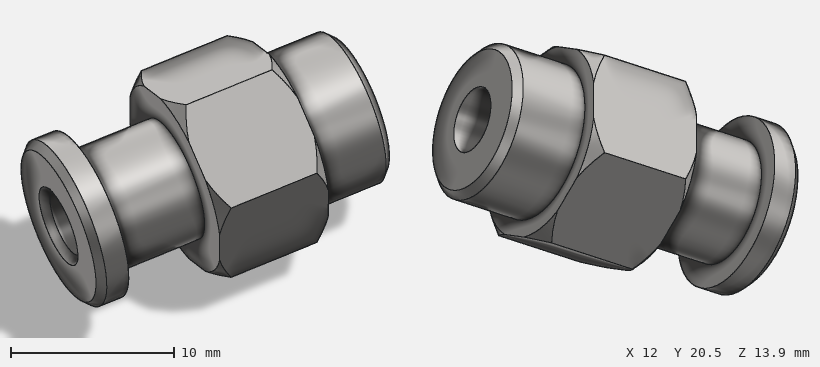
import cadquery as cq
import math

total_length = 20.5
flange_length = 2.0
neck_length = 6.0
hex_length = 7.5

flange_diameter = 11.0
neck_diameter = 8.0
spigot_diameter = 10.0
hex_across_flats = 12.0
hex_face_diameter = 12.25
bore_diameter = 4.2
edge_chamfer = 0.5

hex_start = flange_length + neck_length
spigot_start = hex_start + hex_length
spigot_length = total_length - spigot_start
hex_across_corners = hex_across_flats / math.cos(math.pi / 6)
corner_chamfer = (hex_across_corners - hex_face_diameter) / 2


def section_plane(y):
    """Plane across the axis at y, extruding toward +Y."""
    return cq.Workplane(cq.Plane(origin=(0, y, 0), xDir=(0, 0, 1), normal=(0, 1, 0)))


def cylinder(y, diameter, length):
    return section_plane(y).circle(diameter / 2).extrude(length)


def hex_body():
    """Hexagon with corners on Z, its corners turned down at 45 degrees on both ends."""
    prism = section_plane(hex_start).polygon(6, hex_across_corners).extrude(hex_length)
    turned_blank = cylinder(hex_start, hex_across_corners, hex_length)
    turned_blank = turned_blank.faces("<Y or >Y").chamfer(corner_chamfer)
    return prism.intersect(turned_blank)


flange = cylinder(0, flange_diameter, flange_length).faces("<Y").chamfer(edge_chamfer)
neck = cylinder(flange_length, neck_diameter, neck_length)
spigot = cylinder(spigot_start, spigot_diameter, spigot_length).faces(">Y").chamfer(edge_chamfer)
body = flange.union(neck).union(hex_body()).union(spigot)

bore = cylinder(0, bore_diameter, total_length)
bore_radius = bore_diameter / 2
countersink = cq.Workplane(
    cq.Solid.makeCone(
        bore_radius + edge_chamfer, bore_radius, edge_chamfer, cq.Vector(0, 0, 0), cq.Vector(0, 1, 0)
    )
)

result = body.cut(bore).cut(countersink)